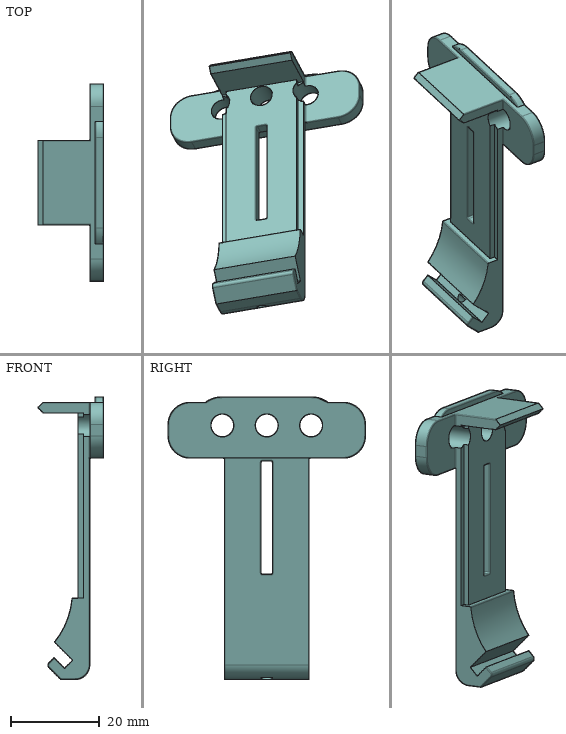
import cadquery as cq
import math

overall_depth = 14.8
overall_height = 63.6
edge_round = 0.2

plate_width = 44.5
plate_height = 12.6
plate_thickness = 3.1
plate_corner_radius = 5.0
rim_rise = 1.2
rim_width = 27.55
rim_thickness = 2.0
rim_end_radius = 6.05
plate_top = overall_height - rim_rise
plate_bottom = plate_top - plate_height

hole_diameter = 5.1
hole_spacing = 10.0
hole_height = 57.2

shelf_thickness = 2.4
shelf_bottom = plate_top - shelf_thickness
bevel = shelf_thickness / 2

strap_width = 19.1
base_thickness = 1.45
pad_width = 16.55
pad_thickness = 1.2
strap_back = -plate_thickness
base_front = strap_back - base_thickness
pad_front = base_front - pad_thickness

slot_width = 2.55
slot_length = 25.45
slot_center_height = 36.45
slot_corner_radius = 0.3

block_top = 18.3
block_front = -7.1
saddle_radius = 18.0
heel_radius = 3.3
notch_floor_x = -7.9
notch_floor_z = 3.45
notch_width = 2.55
notch_upper_length = 5.8
lip_length = 3.4
lip_thickness = 2.4
lip_corner_radius = 0.75
pin_hole_diameter = 2.55
pin_hole_depth = 7.65


def notch_point(outward, across):
    """Point (x, z) measured out of the notch from its floor, and across it (up is positive)."""
    slope = math.sqrt(0.5)
    return (
        notch_floor_x + slope * (across - outward),
        notch_floor_z + slope * (across + outward),
    )


def side_profile(start):
    """Sketch in the XZ plane, starting at a point (x, z)."""
    return cq.Workplane("XZ").moveTo(*start)


def make_head():
    """Plate and rim, with all outer edges of both faces rounded."""
    plate = (
        cq.Workplane("YZ")
        .center(0, plate_top - plate_height / 2)
        .rect(plate_width, plate_height)
        .extrude(-plate_thickness)
        .edges("|X")
        .fillet(plate_corner_radius)
        .faces("<X")
        .edges()
        .fillet(edge_round)
    )
    end_run = math.sqrt(rim_end_radius**2 - (rim_end_radius - rim_rise) ** 2)
    flat_half = rim_width / 2 - end_run
    rim = (
        cq.Workplane("YZ")
        .moveTo(-rim_width / 2, plate_bottom + plate_corner_radius)
        .lineTo(-rim_width / 2, plate_top)
        .radiusArc((-flat_half, overall_height), rim_end_radius)
        .lineTo(flat_half, overall_height)
        .radiusArc((rim_width / 2, plate_top), rim_end_radius)
        .lineTo(rim_width / 2, plate_bottom + plate_corner_radius)
        .close()
        .extrude(-rim_thickness)
        .faces("<X")
        .edges()
        .fillet(edge_round)
    )
    head = plate.union(rim)
    return head.faces(">X").edges().fillet(edge_round)


def make_shelf():
    """Flat shelf with a 45 degree point in front and rounded upper side edges."""
    tip = -overall_depth
    shelf = (
        side_profile((tip, plate_top - bevel))
        .lineTo(tip + bevel, plate_top)
        .lineTo(-rim_thickness, plate_top)
        .lineTo(-rim_thickness, shelf_bottom)
        .lineTo(tip + bevel, shelf_bottom)
        .close()
        .extrude(strap_width / 2, both=True)
    )
    return shelf.faces(">Z").edges("|X").fillet(edge_round)


def cut_long_slot(strap):
    """Slot through the strap with its rim rounded on both faces."""
    slot = (
        cq.Workplane("YZ", origin=(pad_front, 0, slot_center_height))
        .rect(slot_width, slot_length)
        .extrude(pad_thickness + base_thickness)
        .edges("|X")
        .fillet(slot_corner_radius)
    )
    strap = strap.cut(slot)
    reach_y = slot_width / 2 + edge_round
    reach_z = slot_length / 2 + edge_round
    for face_x in (pad_front, strap_back):
        around_rim = cq.selectors.BoxSelector(
            (face_x - edge_round, -reach_y, slot_center_height - reach_z),
            (face_x + edge_round, reach_y, slot_center_height + reach_z),
        )
        strap = strap.edges(around_rim).fillet(edge_round)
    return strap


def make_strap():
    """Strap base and hook in one side profile, plus the raised pad and the root in the head."""
    lip_outer = -notch_width / 2 - lip_thickness
    lip_outer_x, lip_outer_z = notch_point(0, lip_outer)
    toe_x = lip_outer_x + lip_outer_z
    body = (
        side_profile((strap_back, plate_top - bevel))
        .lineTo(strap_back, 0)
        .lineTo(toe_x, 0)
        .lineTo(*notch_point(lip_length, lip_outer))
        .lineTo(*notch_point(lip_length, -notch_width / 2))
        .lineTo(*notch_point(0, -notch_width / 2))
        .lineTo(*notch_point(0, notch_width / 2))
        .lineTo(*notch_point(notch_upper_length, notch_width / 2))
        .radiusArc((block_front, block_top), -saddle_radius)
        .lineTo(base_front, block_top)
        .lineTo(base_front, plate_top - bevel)
        .close()
        .extrude(strap_width / 2, both=True)
    )
    lip_corner_x, lip_corner_z = notch_point(lip_length, lip_outer)
    heel = cq.selectors.NearestToPointSelector((strap_back, 0, 0))
    lip = cq.selectors.NearestToPointSelector((lip_corner_x, 0, lip_corner_z))
    body = body.edges(heel).fillet(heel_radius)
    body = body.edges(lip).fillet(lip_corner_radius)
    outside = body.faces(">X or <Z or <(1,0,1)").edges("not |Y")
    body = outside.fillet(edge_round)
    brow = cq.selectors.NearestToPointSelector((block_front, 0, block_top))
    body = body.edges(brow).fillet(edge_round)
    pad = cq.Workplane("XY").box(
        pad_thickness, pad_width, shelf_bottom - block_top, centered=(False, True, False)
    )
    root = cq.Workplane("XY").box(
        -rim_thickness - base_front,
        strap_width,
        shelf_bottom - plate_bottom,
        centered=(False, True, False),
    )
    strap = body.union(pad.translate((pad_front, 0, block_top)))
    strap = cut_long_slot(strap)
    return strap.union(root.translate((base_front, 0, plate_bottom)))


def make_screw_holes():
    """Three holes in a row; the outer two also cut into the strap sides."""
    return (
        cq.Workplane("YZ")
        .pushPoints([(i * hole_spacing, hole_height) for i in (-1, 0, 1)])
        .circle(hole_diameter / 2)
        .extrude(-overall_depth)
    )


def make_pin_hole():
    """Half-round hole square to the notch floor, next to the lip, running out through the heel."""
    floor = cq.Plane(
        origin=(notch_floor_x, 0, notch_floor_z), xDir=(0, 1, 0), normal=(1, 0, -1)
    )
    radius = pin_hole_diameter / 2
    return (
        cq.Workplane(floor)
        .moveTo(-radius, 0)
        .threePointArc((0, -radius), (radius, 0))
        .close()
        .extrude(pin_hole_depth)
    )


def blend_strap_into_head(bracket):
    """Small fillets in the upright corners between the strap sides and the head plate."""
    for side in (-1, 1):
        corner_y = side * strap_width / 2
        in_corner = cq.selectors.BoxSelector(
            (strap_back - edge_round / 2, corner_y - edge_round / 2, plate_bottom),
            (strap_back + edge_round / 2, corner_y + edge_round / 2, plate_top),
        )
        bracket = bracket.edges(in_corner).edges("|Z").fillet(edge_round)
    return bracket


bracket = make_head().union(make_strap()).union(make_shelf())
result = blend_strap_into_head(bracket).cut(make_screw_holes()).cut(make_pin_hole())